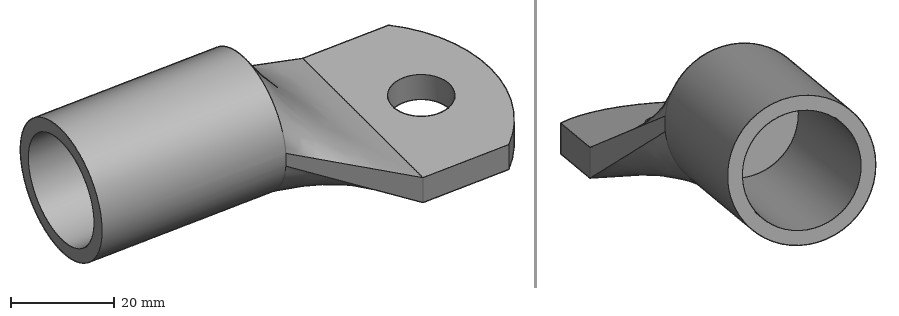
import cadquery as cq
import math

total_length = 98.0
barrel_diameter = 30.0
bore_diameter = 24.0
barrel_length = 41.9
neck_length = 26.9
palm_width = 44.0
palm_thickness = 6.2
palm_tip_radius = 30.0
hole_diameter = 13.0
hole_to_tip = 15.9
strip_height = 3.1
waist_fraction = 0.56
waist_crown = 7.35
barrel_clearance = 2.1

barrel_radius = barrel_diameter / 2
axis_height = barrel_clearance + barrel_radius
half_width = palm_width / 2
palm_start = barrel_length + neck_length
tip_rise = palm_tip_radius - math.sqrt(palm_tip_radius**2 - half_width**2)
shoulder = total_length - tip_rise
corner_angle = math.asin(strip_height / 2 / barrel_radius)


def blend(barrel_value, palm_value):
    """Value at the waist on a straight run from the barrel to the palm."""
    return barrel_value + waist_fraction * (palm_value - barrel_value)


def make_barrel():
    rim = cq.Workplane("XZ", origin=(0, 0, axis_height))
    return rim.circle(barrel_radius).extrude(-barrel_length)


def make_palm():
    return (
        cq.Workplane("XY")
        .moveTo(-half_width, palm_start)
        .lineTo(half_width, palm_start)
        .lineTo(half_width, shoulder)
        .threePointArc((0, total_length), (-half_width, shoulder))
        .close()
        .extrude(palm_thickness)
    )


def neck_section(y, corner_x, corner_top, corner_bottom, crown, keel):
    """Closed outline at y: two upright sides joined by an arc over the top and one underneath."""
    top_right = cq.Vector(corner_x, y, corner_top)
    top_left = cq.Vector(-corner_x, y, corner_top)
    bottom_left = cq.Vector(-corner_x, y, corner_bottom)
    bottom_right = cq.Vector(corner_x, y, corner_bottom)

    def span(start, middle_z, end):
        if middle_z == start.z:
            return cq.Edge.makeLine(start, end)
        return cq.Edge.makeThreePointArc(start, cq.Vector(0, y, middle_z), end)

    edges = [
        span(top_right, crown, top_left),
        cq.Edge.makeLine(top_left, bottom_left),
        span(bottom_left, keel, bottom_right),
        cq.Edge.makeLine(bottom_right, top_right),
    ]
    return cq.Wire.assembleEdges(edges)


def make_neck():
    """Smooth loft from the barrel, through a low waist, to the flat palm."""
    rim_x = barrel_radius * math.cos(corner_angle)
    rim_top = axis_height + strip_height / 2
    rim_bottom = axis_height - strip_height / 2
    barrel_end = neck_section(
        barrel_length, rim_x, rim_top, rim_bottom, axis_height + barrel_radius, barrel_clearance
    )
    waist = neck_section(
        blend(barrel_length, palm_start),
        blend(rim_x, half_width),
        blend(rim_top, palm_thickness),
        blend(rim_bottom, 0),
        palm_thickness + waist_crown,
        blend(barrel_clearance, 0),
    )
    palm_end = neck_section(palm_start, half_width, palm_thickness, 0, palm_thickness, 0)
    return cq.Workplane(cq.Solid.makeLoft([barrel_end, waist, palm_end]))


def make_bore():
    rim = cq.Workplane("XZ", origin=(0, 0, axis_height))
    return rim.circle(bore_diameter / 2).extrude(-barrel_length)


def make_bolt_hole():
    center = cq.Workplane("XY", origin=(0, total_length - hole_to_tip, 0))
    return center.circle(hole_diameter / 2).extrude(palm_thickness)


result = make_barrel().union(make_neck()).union(make_palm())
result = result.cut(make_bore()).cut(make_bolt_hole())